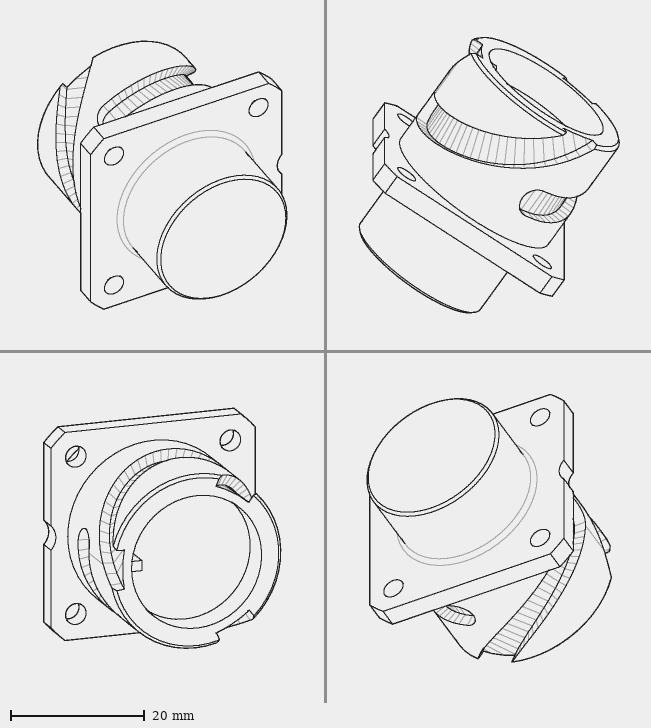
import cadquery as cq
import math

total_length = 33.8
flange_front = 19.0
flange_thickness = 3.18
flange_back = flange_front + flange_thickness

flange_side = 32.53
corner_circle_diameter = 42.95
mount_hole_spacing = 24.58
mount_hole_diameter = 3.25
notch_radius = 2.7
notch_depth = 0.78

barrel_diameter = 27.2
barrel_radius = barrel_diameter / 2
barrel_chamfer = 0.5
socket_diameter = 20.7
socket_radius = socket_diameter / 2
socket_depth = 5.0
key_height = 2.0
key_width = 1.6
key_front = 1.0
key_root_overlap = 0.68

spigot_diameter = 22.15
spigot_chamfer = 0.45
spigot_root_fillet = 0.7

groove_count = 3
groove_width = 4.75
groove_floor_radius = 11.75
groove_end_x = 12.1
groove_end_angle = 3.0
groove_level_sweep = 7.0
groove_arc_radius = 37.7
groove_arc_sweep = 130.0
groove_facet_count = 24
cutter_top_radius = barrel_radius + 1.7


def x_cylinder(diameter, start, length):
    return cq.Workplane("YZ", origin=(start, 0, 0)).circle(diameter / 2).extrude(length)


def make_flange():
    flange_plane = cq.Workplane("YZ", origin=(flange_front, 0, 0))
    plate = flange_plane.rect(flange_side, flange_side).extrude(flange_thickness)
    corner_trim = x_cylinder(corner_circle_diameter, flange_front, flange_thickness)
    holes = (
        flange_plane.rect(mount_hole_spacing, mount_hole_spacing, forConstruction=True)
        .vertices()
        .circle(mount_hole_diameter / 2)
        .extrude(flange_thickness)
    )
    notch_center_y = flange_side / 2 - notch_depth + notch_radius
    notch = x_cylinder(2 * notch_radius, flange_front, flange_thickness)
    notch = notch.translate((0, notch_center_y, 0))
    return plate.intersect(corner_trim).cut(holes).cut(notch)


def make_barrel():
    barrel = x_cylinder(barrel_diameter, 0, flange_front)
    return barrel.faces("<X").edges().chamfer(barrel_chamfer)


def make_spigot():
    spigot = x_cylinder(spigot_diameter, flange_back, total_length - flange_back)
    return spigot.faces(">X").edges().chamfer(spigot_chamfer)


def spigot_root_selector():
    """Thin box at the back of the flange that holds only the spigot's root circle."""
    margin = 0.35
    reach = spigot_diameter / 2 + margin
    return cq.selectors.BoxSelector(
        (flange_back - margin, -reach, -reach),
        (flange_back + margin, reach, reach),
        boundingbox=True,
    )


def make_key():
    """Bar on the +Y side of the socket, sunk into the wall and joined to the socket floor."""
    key = cq.Workplane("XY").box(
        socket_depth - key_front,
        key_height + key_root_overlap,
        key_width,
        centered=(False, False, True),
    )
    return key.translate((key_front, socket_radius - key_height, 0))


def radial_direction(sweep_angle):
    """Unit vector from the axis towards the groove, at a sweep in degrees from its closed end."""
    turn = math.radians(groove_end_angle - sweep_angle)
    return cq.Vector(0, math.cos(turn), math.sin(turn))


def groove_section(sweep_angle):
    """Rectangular cutter outline, square to the groove path and standing radially."""
    arc_length = barrel_radius * math.radians(max(sweep_angle - groove_level_sweep, 0))
    slope = math.asin(arc_length / groove_arc_radius)
    x = groove_end_x - groove_arc_radius * (1 - math.cos(slope))
    axial = cq.Vector(1, 0, 0)
    radial = radial_direction(sweep_angle)
    tangent = axial.cross(radial) * -1
    half_width = (axial * math.cos(slope) + tangent * math.sin(slope)) * (groove_width / 2)
    floor = axial * x + radial * groove_floor_radius
    top = axial * x + radial * cutter_top_radius
    corners = [floor - half_width, floor + half_width, top + half_width, top - half_width]
    return cq.Wire.makePolygon(corners, close=True)


def make_groove_cutter():
    sections = [groove_section(0)]
    for i in range(groove_facet_count + 1):
        sections.append(groove_section(groove_level_sweep + groove_arc_sweep * i / groove_facet_count))
    channel = cq.Solid.makeLoft(sections, True)
    end_radial = radial_direction(0)
    round_end = cq.Solid.makeCylinder(
        groove_width / 2,
        cutter_top_radius - groove_floor_radius,
        cq.Vector(groove_end_x, 0, 0) + end_radial * groove_floor_radius,
        end_radial,
    )
    return cq.Workplane(channel).union(cq.Workplane(round_end))


body = make_flange().union(make_spigot())
body = body.edges(spigot_root_selector()).fillet(spigot_root_fillet)
body = body.union(make_barrel())

body = body.cut(x_cylinder(socket_diameter, 0, socket_depth))
body = body.union(make_key())

groove_cutter = make_groove_cutter()
for i in range(groove_count):
    body = body.cut(groove_cutter.rotate((0, 0, 0), (1, 0, 0), i * 360 / groove_count))

result = body